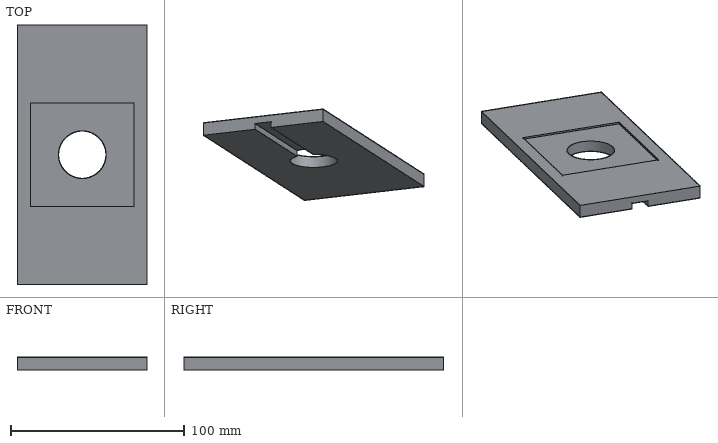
import cadquery as cq

width = 75.0
length = 150.0
thickness = 7.5

recess_side = 60.0
recess_depth = 1.0

hole_diameter = 27.3

channel_width = 10.0
channel_depth = 3.5
channel_length = length / 2

plate = cq.Workplane("XY").box(width, length, thickness, centered=(True, True, False))

recess = (
    cq.Workplane("XY")
    .workplane(offset=thickness - recess_depth)
    .rect(recess_side, recess_side)
    .extrude(recess_depth)
)

hole = cq.Workplane("XY").circle(hole_diameter / 2).extrude(thickness)

channel = cq.Workplane("XY").box(
    channel_width, channel_length, channel_depth, centered=(True, False, False)
)

result = plate.cut(recess).cut(hole).cut(channel)